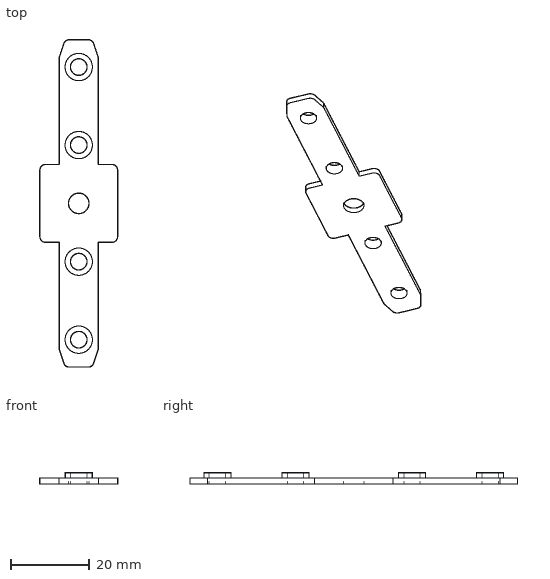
import cadquery as cq

total_length = 83.97
total_height = 3.0
plate_thickness = 1.6
boss_height = total_height - plate_thickness

pad_side = 20.0
center_hole_diameter = 5.2

strip_width = pad_side / 2
tip_width = 7.0
taper_length = 4.5

corner_radius = 1.5

boss_diameter = 7.0
boss_hole_diameter = 4.2
inner_boss_distance = 14.94
boss_spacing = 20.0
boss_distances = (inner_boss_distance, inner_boss_distance + boss_spacing)
boss_centers = [(0, side * distance) for side in (-1, 1) for distance in boss_distances]


def make_pad():
    """Square pad with rounded corners, its underside on Z = 0."""
    pad = cq.Workplane("XY").rect(pad_side, pad_side).extrude(plate_thickness)
    return pad.edges("|Z").fillet(corner_radius)


def make_strip():
    """Long strip along Y that narrows to a rounded tip at both ends."""
    half_width = strip_width / 2
    half_tip = tip_width / 2
    end_y = total_length / 2
    taper_y = end_y - taper_length
    outline = [
        (half_width, -taper_y),
        (half_width, taper_y),
        (half_tip, end_y),
        (-half_tip, end_y),
        (-half_width, taper_y),
        (-half_width, -taper_y),
        (-half_tip, -end_y),
        (half_tip, -end_y),
    ]
    strip = cq.Workplane("XY").polyline(outline).close().extrude(plate_thickness)
    return strip.edges("|Z and (<Y or >Y)").fillet(corner_radius)


def make_bosses():
    """Round bosses standing on top of the strip."""
    top_plane = cq.Workplane("XY").workplane(offset=plate_thickness)
    return top_plane.pushPoints(boss_centers).circle(boss_diameter / 2).extrude(boss_height)


def make_holes():
    """Through holes: one in each boss and a larger one in the pad."""
    boss_holes = cq.Workplane("XY").pushPoints(boss_centers).circle(boss_hole_diameter / 2)
    center_hole = cq.Workplane("XY").circle(center_hole_diameter / 2)
    return boss_holes.extrude(total_height).union(center_hole.extrude(total_height))


result = make_strip().union(make_pad()).union(make_bosses()).cut(make_holes())